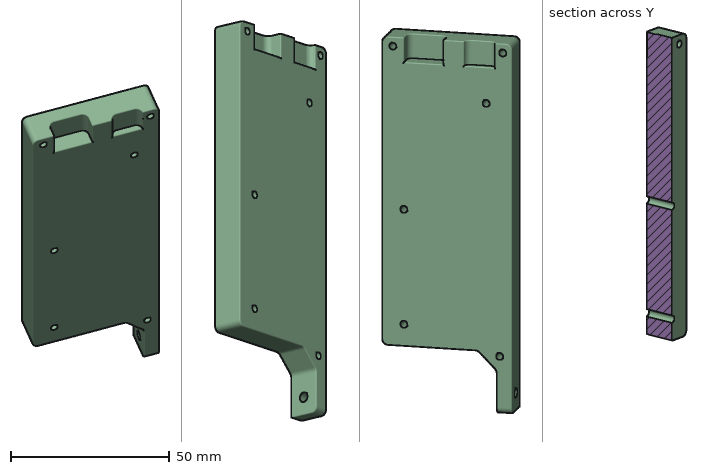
import cadquery as cq


thickness = 10.4
width = 42.36
height = 120.65

tab_length = 20.1
tab_width = 5.08
tab_inner_y = width - tab_width
gusset_leg = 6.1
gusset_radius = 2.0

corner_radius = 2.0
edge_radius = 0.38

tab_hole_diameter = 3.18
tab_hole_z = 5.85

screw_hole_diameter = 2.3
end_hole_z = height - 3.0
inner_hole_y = 7.2
screw_hole_centers = [
    (width - 3.0, end_hole_z),
    (3.6, end_hole_z),
    (width - 8.4, height - 19.75),
    (inner_hole_y, height - 55.95),
    (inner_hole_y, height - 93.4),
    (width - 4.0, height - 101.9),
]

notch_length = 8.0
notch_corner_radius = 2.0
notches = [
    (13.6, 12.7, 4.8),
    (31.75, 9.9, 8.25),
]

tolerance = 0.01


def edges_centered_in(x_range, y_range, z_range):
    """Selector for edges whose center lies in the ranges, widened by the tolerance."""
    ranges = (x_range, y_range, z_range)
    lower = [low - tolerance for low, high in ranges]
    upper = [high + tolerance for low, high in ranges]
    return cq.selectors.BoxSelector(lower, upper)


def make_blank():
    """Plate with the tab and its gusset, rounded at the corners."""
    body_corner = (0, tab_length)
    gusset_top = (tab_inner_y - gusset_leg, tab_length)
    gusset_bottom = (tab_inner_y, tab_length - gusset_leg)
    top_corners = [(width, height), (0, height)]
    outline = [body_corner, gusset_top, gusset_bottom, (tab_inner_y, 0), (width, 0)] + top_corners
    blank = cq.Workplane("YZ").polyline(outline).close().extrude(thickness)

    def round_corners(solid, corners, radius):
        for y, z in corners:
            corner_edge = edges_centered_in((0, thickness), (y, y), (z, z))
            solid = solid.edges(corner_edge).fillet(radius)
        return solid

    blank = round_corners(blank, [body_corner] + top_corners, corner_radius)
    blank = round_corners(blank, [gusset_top, gusset_bottom], gusset_radius)
    return blank.faces("<Z").edges(">X").fillet(corner_radius)


def cut_notch(body, center_y, notch_width, floor_x):
    """Cut a notch with rounded floor corners into the top end."""
    cutter = (
        cq.Workplane("XY")
        .box(thickness - floor_x, notch_width, notch_length, centered=(False, True, False))
        .edges("|Z and <X")
        .fillet(notch_corner_radius)
        .translate((floor_x, center_y, height - notch_length))
    )
    return body.cut(cutter)


def notch_mouth_edges(body, center_y, notch_width, floor_x):
    """Edges where a notch meets the top end face."""
    y_range = (center_y - notch_width / 2, center_y + notch_width / 2)
    return body.edges(edges_centered_in((floor_x, thickness), y_range, (height, height)))


def round_edges(body):
    """Round the +X rim, the notch mouths and the free end of the tab together."""
    tab_y = (tab_inner_y, width)
    tab_end = edges_centered_in((0, thickness), tab_y, (0, corner_radius))
    rounded = body.faces(">X").edges().add(body.edges(tab_end))
    for notch in notches:
        rounded = rounded.add(notch_mouth_edges(body, *notch))

    seam_points = [(thickness - corner_radius, 0), (thickness, corner_radius)]

    def is_sharp(edge):
        center = edge.Center()
        return all(abs(center.x - x) + abs(center.z - z) > tolerance for x, z in seam_points)

    return rounded.filter(is_sharp).fillet(edge_radius)


def drill_holes(body):
    """Drill the screw holes along X and the tab hole along Y."""
    screw_holes = (
        cq.Workplane("YZ")
        .pushPoints(screw_hole_centers)
        .circle(screw_hole_diameter / 2)
        .extrude(thickness)
    )
    tab_hole = (
        cq.Workplane("XZ")
        .center(thickness / 2, tab_hole_z)
        .circle(tab_hole_diameter / 2)
        .extrude(-width)
    )
    return body.cut(screw_holes).cut(tab_hole)


part = make_blank()
for notch in notches:
    part = cut_notch(part, *notch)
part = round_edges(part)
result = drill_holes(part)